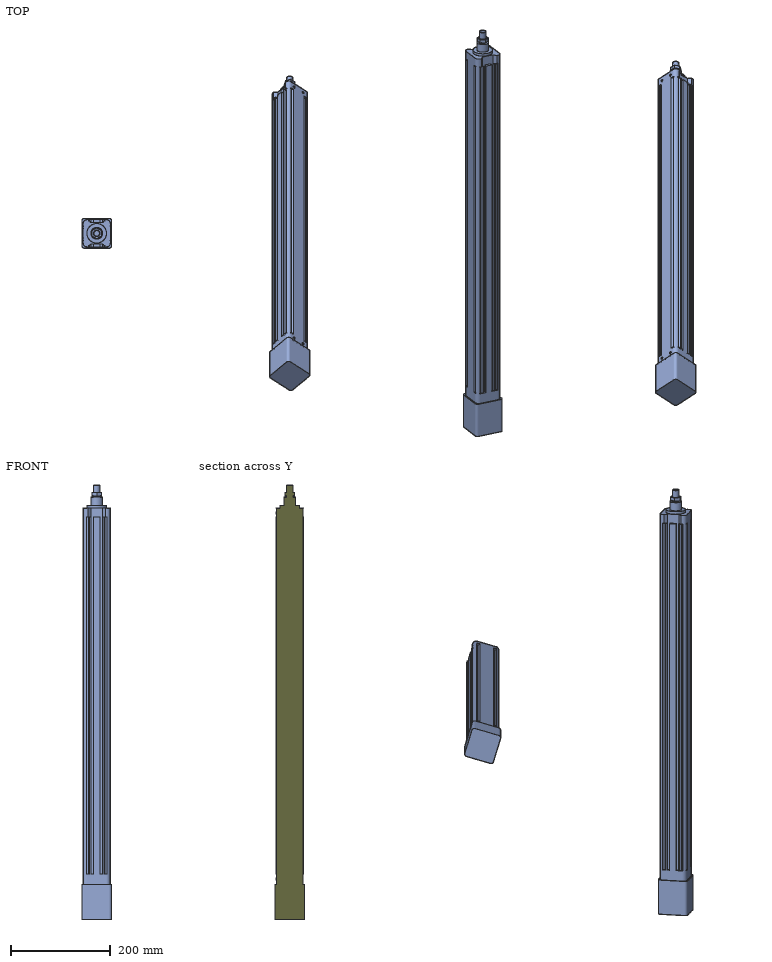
import cadquery as cq

block_top = 70.5
profile_bottom = 91.0
profile_top = 806.0
body_top = 824.0
collar_top = 829.0
rod_top = 846.0
nut_bottom = 848.0
nut_top = 855.0
total_height = 870.0

block_width = 60.0
block_corner_radius = 5.0
body_width = 55.0
body_corner_radius = 8.0
body_half = body_width / 2

collar_diameter = 39.0
rod_diameter = 23.5
stud_diameter = 13.0
stud_chamfer = 1.0
nut_across_flats = 19.0

groove_edge_distance = 7.0
groove_floor_width = 3.5
groove_slope_width = 3.0
groove_outer = body_half - groove_edge_distance
groove_floor_inner = groove_outer - groove_floor_width
groove_inner = groove_floor_inner - groove_slope_width
groove_depth = 3.5

slot_inner = 6.5
slot_width = 5.0
slot_outer = slot_inner + slot_width
slot_depth = 6.0

recess_depth = 6.0
recess_floor_half = slot_outer
recess_mouth_half = 17.0

hole_diameter = 4.0
hole_depth = 5.0
hole_spacing = 23.5
hole_offset = hole_spacing / 2
hole_heights = (81.0, 814.0)

front_angle = 0
back_angle = 180
side_angles = (0, 90, 180, 270)


def rounded_square(width, corner_radius, bottom, top):
    """Upright square bar with rounded vertical edges."""
    bar = cq.Workplane("XY").workplane(offset=bottom).rect(width, width).extrude(top - bottom)
    return bar.edges("|Z").fillet(corner_radius)


def cylinder(diameter, bottom, top):
    """Upright cylinder on the axis."""
    return cq.Workplane("XY").workplane(offset=bottom).circle(diameter / 2).extrude(top - bottom)


def face_cut(points, bottom, top, angle):
    """Cutter for the front side, turned about Z; points are (x, depth below the side)."""
    outline = [(x, depth - body_half) for x, depth in points]
    cutter = cq.Workplane("XY").workplane(offset=bottom).polyline(outline).close().extrude(top - bottom)
    return cutter.rotate((0, 0, 0), (0, 0, 1), angle)


def corner_groove(hand, angle):
    """Groove with a straight outer wall and a sloping inner wall."""
    points = [
        (hand * groove_outer, 0),
        (hand * groove_outer, groove_depth),
        (hand * groove_floor_inner, groove_depth),
        (hand * groove_inner, 0),
    ]
    return face_cut(points, profile_bottom, profile_top, angle)


def sensor_slot(hand, angle):
    """Rectangular slot between the central rail and a thin fin."""
    points = [
        (hand * slot_outer, 0),
        (hand * slot_outer, slot_depth),
        (hand * slot_inner, slot_depth),
        (hand * slot_inner, 0),
    ]
    return face_cut(points, profile_bottom, profile_top, angle)


def cap_recess(angle):
    """Recess that widens outwards and is open at the top of the body."""
    points = [
        (-recess_mouth_half, 0),
        (-recess_floor_half, recess_depth),
        (recess_floor_half, recess_depth),
        (recess_mouth_half, 0),
    ]
    return face_cut(points, profile_top, body_top, angle)


def make_body():
    """Extruded barrel with its two plain end caps."""
    body = rounded_square(body_width, body_corner_radius, block_top, body_top)
    for hand in (-1, 1):
        for angle in side_angles:
            body = body.cut(corner_groove(hand, angle))
        for angle in (front_angle, back_angle):
            body = body.cut(sensor_slot(hand, angle))
    for angle in (front_angle, back_angle):
        body = body.cut(cap_recess(angle))
    hole_centres = [(y, z) for y in (-hole_offset, hole_offset) for z in hole_heights]
    holes = (
        cq.Workplane("YZ")
        .workplane(offset=-body_half)
        .pushPoints(hole_centres)
        .circle(hole_diameter / 2)
        .extrude(hole_depth)
    )
    return body.cut(holes)


def make_rod_end():
    """Collar, piston rod, threaded stud and hexagon nut with corners on Y."""
    collar = cylinder(collar_diameter, body_top, collar_top)
    rod = cylinder(rod_diameter, collar_top, rod_top)
    stud = cylinder(stud_diameter, rod_top, total_height).faces(">Z").chamfer(stud_chamfer)
    nut = (
        cq.Workplane("XY")
        .workplane(offset=nut_bottom)
        .polygon(6, nut_across_flats, circumscribed=True)
        .extrude(nut_top - nut_bottom)
    )
    return collar.union(rod).union(stud).union(nut)


block = rounded_square(block_width, block_corner_radius, 0, block_top)
result = block.union(make_body()).union(make_rod_end())